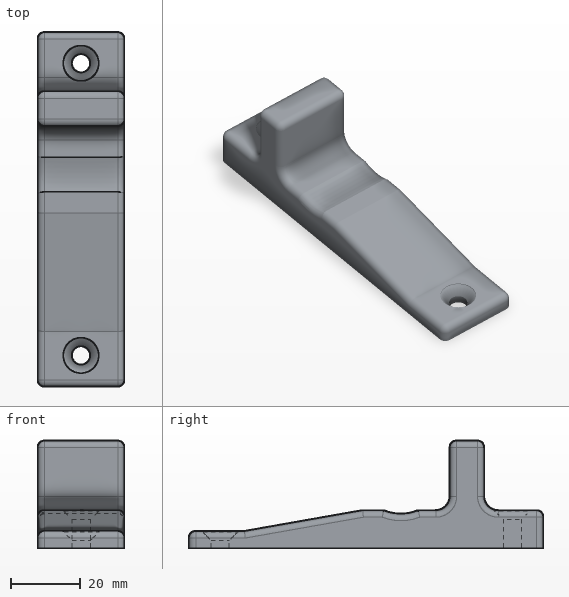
import cadquery as cq
import math

width = 25.0
length = 102.0
back_y = length / 2
front_y = -length / 2

base_height = 11.0
toe_height = 5.0
toe_length = 16.0
ramp_length = 34.0
toe_end_y = front_y + toe_length
ramp_top_y = toe_end_y + ramp_length

wall_height = 31.0
wall_thickness = 10.0
wall_setback = 17.0
wall_back_y = back_y - wall_setback
wall_front_y = wall_back_y - wall_thickness
wall_root_radius = 4.0

groove_width = 10.0
groove_depth = 1.0
groove_gap = 9.0
groove_back_y = wall_front_y - groove_gap
groove_front_y = groove_back_y - groove_width
groove_mid_y = (groove_back_y + groove_front_y) / 2

edge_radius = 2.0

hole_diameter = 5.2
countersink_diameter = 10.2
countersink_angle = 90.0
countersink_rim_depth = 0.2
hole_end_distance = 9.0
cutter_overrun = 1.0


def make_body():
    """Side profile with concave wall roots and groove, extruded across X."""
    root_mid = wall_root_radius * (1 - math.sqrt(0.5))
    root_top_z = base_height + wall_root_radius
    return (
        cq.Workplane("YZ")
        .moveTo(front_y, 0)
        .lineTo(front_y, toe_height)
        .lineTo(toe_end_y, toe_height)
        .lineTo(ramp_top_y, base_height)
        .lineTo(groove_front_y, base_height)
        .threePointArc((groove_mid_y, base_height - groove_depth), (groove_back_y, base_height))
        .lineTo(wall_front_y - wall_root_radius, base_height)
        .threePointArc((wall_front_y - root_mid, base_height + root_mid), (wall_front_y, root_top_z))
        .lineTo(wall_front_y, wall_height)
        .lineTo(wall_back_y, wall_height)
        .lineTo(wall_back_y, root_top_z)
        .threePointArc((wall_back_y + root_mid, base_height + root_mid),
                       (wall_back_y + wall_root_radius, base_height))
        .lineTo(back_y, base_height)
        .lineTo(back_y, 0)
        .close()
        .extrude(width / 2, both=True)
    )


def round_outer_edges(body):
    """Round both side outlines, the end corners and the convex top edges."""
    side_outlines = body.faces("<X or >X").edges("not <Z")
    front_top = body.faces("<Y").edges(">Z")
    back_top = body.faces(">Y").edges(">Z")
    wall_tops = body.faces(">Z").edges("|X")
    rounded = side_outlines.add(front_top).add(back_top).add(wall_tops)
    return rounded.fillet(edge_radius)


def countersunk_hole_cutter(y, surface_height):
    """Through hole with a conical seat below a short straight rim at the surface."""
    hole_radius = hole_diameter / 2
    rim_radius = countersink_diameter / 2
    cone_depth = (rim_radius - hole_radius) / math.tan(math.radians(countersink_angle / 2))
    cone_top_z = surface_height - countersink_rim_depth
    return (
        cq.Workplane("XZ", origin=(0, y, 0))
        .moveTo(0, -cutter_overrun)
        .lineTo(hole_radius, -cutter_overrun)
        .lineTo(hole_radius, cone_top_z - cone_depth)
        .lineTo(rim_radius, cone_top_z)
        .lineTo(rim_radius, surface_height + cutter_overrun)
        .lineTo(0, surface_height + cutter_overrun)
        .close()
        .revolve(360, (0, 0, 0), (0, 1, 0))
    )


result = round_outer_edges(make_body())
for hole_y, surface_z in (
    (front_y + hole_end_distance, toe_height),
    (back_y - hole_end_distance, base_height),
):
    result = result.cut(countersunk_hole_cutter(hole_y, surface_z))